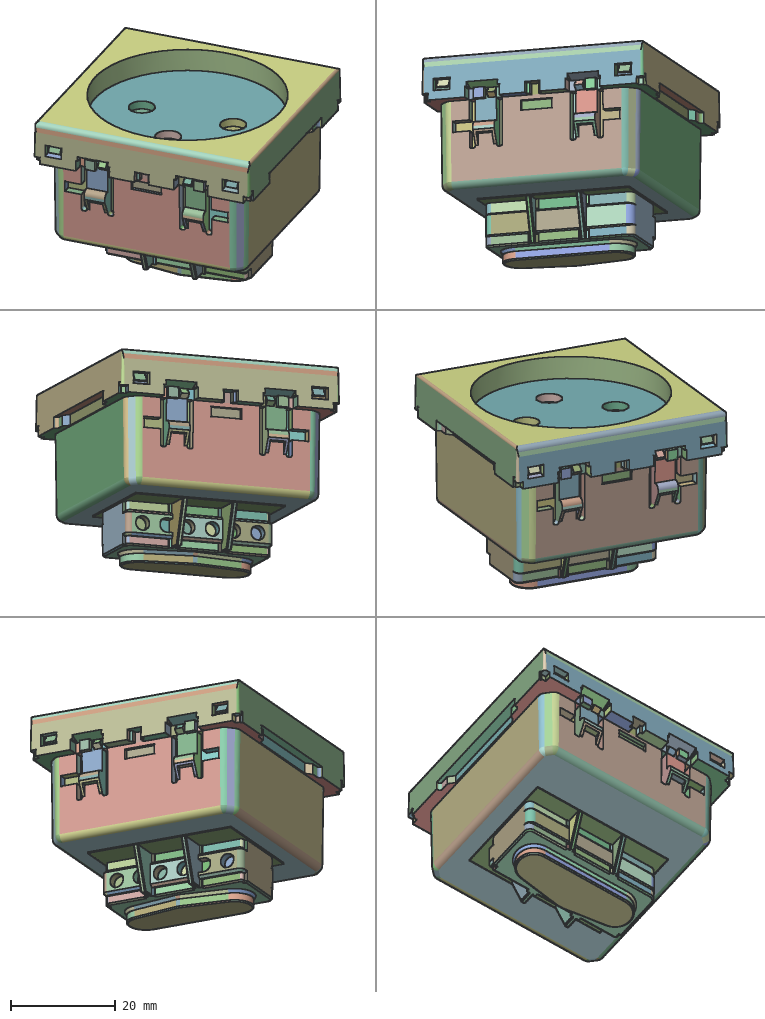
import cadquery as cq
import math


OVERRUN = 0.45

COVER = 45.0
COVER_HEIGHT = 8.55
COVER_DRAFT = 0.2
COVER_CORNER = 0.55
LONG_EDGE_ROUND = 1.0
SIDE_EDGE_ROUND = 0.55
BREAK_DROP = 1.95
BREAK_LEAN = 0.1
SIDE_BREAK_DROP = 0.6
WALL = COVER / 2
DIAL_RADIUS = 19.2
DIAL_DEPTH = 4.5
PIN_RADIUS = 2.5
PIN_DEPTH = 1.65
PIN_OFFSET = 9.5
NOTCH = 1.35
SIDE_SLIT_WIDTH = 0.35
SIDE_SLIT_DEPTH = 0.45
LOW_OPENING = 2.1

BODY = 40.4
BODY_DEPTH = 17.1
BODY_DRAFT = 0.22
BODY_CHAMFER = 2.15
BODY_CORNER_ROUND = 1.85
BODY_BOTTOM_ROUND = 1.3
BODY_WALL = BODY / 2

SIDE_OPENING_HALF = 12.8
SIDE_OPENING_DEPTH = 0.9
SIDE_CENTRE_HALF = 9.35
SIDE_CENTRE_CHAMFER = 1.12
SIDE_OPENING_ROUND = 0.6

WINDOW_X = 18.4
WINDOW_WIDTH = 3.35
WINDOW_LOW = 1.85
WINDOW_HIGH = 4.2
WINDOW_DEPTH = 1.35
WINDOW_TAB_WIDTH = 2.45
WINDOW_TAB_LOW = 2.6
WINDOW_TAB_SETBACK = 0.45
WINDOW_SILL_RISE = 0.22

LATCH_X = 10.2
LATCH_WIDTH = 4.3
ARCH_WIDTH = 7.0
ARCH_HEIGHT = 3.05
ARCH_SLOPE_WIDTH = 6.3
LEG_WIDTH = 1.15
LEG_BOTTOM = -9.55
LEG_DEPTH = 1.8
LEG_ROUND = 0.45
HOOK_REACH = 21.55
HOOK_TOP = -4.5
HOOK_TIP = -6.25
HOOK_FOOT = -9.22
HOOK_ROUND = 1.1
HOOK_GAP = 3.15
HOOK_BAR_BOTTOM = -6.75
STOP_WIDTH = 2.1
STOP_REACH = 1.0
SMALL_STOP_WIDTH = 1.65
SMALL_STOP_NOSE = 1.0
SMALL_STOP_BOTTOM = 0.15
SIDE_SLOT_LENGTH = 3.4
SIDE_SLOT_TOP = -3.95
SIDE_SLOT_BOTTOM = -6.1

MID_NOTCH_WIDTH = 2.95
MID_NOTCH_INNER = 1.8
MID_NOTCH_DEPTH = 1.12
LABEL_WIDTH = 6.3
LABEL_TOP = -0.9
LABEL_BOTTOM = -2.9
LABEL_DEPTH = 0.75

BLOCK_WIDTH = 30.25
BLOCK_BOTTOM = -25.95
BLOCK_FRONT = -5.6
BLOCK_BACK = 7.05
BLOCK_SHOULDER = -4.5
BLOCK_INSET = 0.5
BLOCK_FRONT_ROUND = 0.45
BLOCK_BACK_ROUND = 1.35
PAD_WIDTH = 30.8
PAD_THICKNESS = 0.22
BLOCK_EDGE = 0.3
BAND_TOP = -19.12
BAND_BOTTOM = -24.2
BAND_FRONT_REACH = 1.0
BAND_BACK_REACH = 0.25
BAND_FRONT_ROUND = 1.1
BAND_BACK_ROUND = 1.45
BAND_EDGE = 0.55
PLATE_X = 5.15
PLATE_THICKNESS = 1.05
PLATE_EDGE = 0.22
PLATE_FRONT_TOP = -11.92
PLATE_BACK_TOP = 10.45
PLATE_FRONT_BOTTOM = -8.65
PLATE_BACK_BOTTOM = 7.55
PLATE_FOOT_WIDTH = 2.02
PLATE_FOOT_FRONT = -5.95
PLATE_FOOT_BACK = 7.2
WIRE_RADIUS = 1.4
WIRE_DEPTH = 1.8
WIRE_Z = -21.7
WIRE_X = (2.5, 6.9, 11.9)

FOOT_BOTTOM = -28.4
FOOT_END_RADIUS = 3.7
FOOT_END_X = 9.55
FOOT_CENTRE_Y = 1.15
FOOT_FRONT_TILT = 8.6
FOOT_APEX_FLAT = 0.45
FOOT_EDGE = 0.25
FOOT_FLARE_HEIGHT = 0.7
FOOT_FLARE_REACH = 0.4


def block(x_min, x_max, y_min, y_max, z_min, z_max):
    size = (x_max - x_min, y_max - y_min, z_max - z_min)
    return cq.Workplane("XY").box(*size, centered=False).translate((x_min, y_min, z_min))


def centred_block(x, width, y_min, y_max, z_min, z_max):
    return block(x - width / 2, x + width / 2, y_min, y_max, z_min, z_max)


def side_prism(points, x, width):
    """Prism along X, centred on x, from (y, z) points."""
    return cq.Workplane("YZ").polyline(points).close().extrude(width / 2, both=True).translate((x, 0, 0))


def on_both_y_sides(shape):
    return shape.union(shape.mirror("XZ"))


def on_both_x_sides(shape):
    return shape.union(shape.mirror("YZ"))


def rounded_top(plane, radius, break_height, break_lean):
    """Prism wider than the cover below break_height, narrowing to a rounded top edge above it."""
    outside = WALL + OVERRUN
    wall_break = WALL - COVER_DRAFT * break_height / COVER_HEIGHT
    wall_top = wall_break - break_lean
    round_start = COVER_HEIGHT - radius
    mid = radius * (1 - math.sqrt(0.5))
    return (
        cq.Workplane(plane)
        .moveTo(-outside, 0)
        .lineTo(outside, 0)
        .lineTo(outside, break_height)
        .lineTo(wall_break, break_height)
        .lineTo(wall_top, round_start)
        .threePointArc((wall_top - mid, COVER_HEIGHT - mid), (wall_top - radius, COVER_HEIGHT))
        .lineTo(radius - wall_top, COVER_HEIGHT)
        .threePointArc((mid - wall_top, COVER_HEIGHT - mid), (-wall_top, round_start))
        .lineTo(-wall_break, break_height)
        .lineTo(-outside, break_height)
        .close()
        .extrude(outside, both=True)
    )


def make_cover():
    draft_angle = math.degrees(math.atan(COVER_DRAFT / COVER_HEIGHT))
    cover = (
        cq.Workplane("XY")
        .sketch().rect(COVER, COVER).vertices().fillet(COVER_CORNER).finalize()
        .extrude(COVER_HEIGHT, taper=draft_angle)
    )
    cover = cover.intersect(rounded_top("YZ", LONG_EDGE_ROUND, COVER_HEIGHT - BREAK_DROP, BREAK_LEAN))
    cover = cover.intersect(rounded_top("XZ", SIDE_EDGE_ROUND, COVER_HEIGHT - SIDE_BREAK_DROP, 0))

    notch = block(-WALL - OVERRUN, NOTCH - WALL, -WALL - OVERRUN, NOTCH - WALL, -OVERRUN, NOTCH)
    slit_y = NOTCH - WALL
    slit = block(-WALL, SIDE_SLIT_DEPTH - WALL, slit_y, slit_y + SIDE_SLIT_WIDTH, 0, LOW_OPENING)
    return cover.cut(on_both_x_sides(on_both_y_sides(notch.union(slit))))


def make_body():
    draft_angle = math.degrees(math.atan(BODY_DRAFT / BODY_DEPTH))
    return (
        cq.Workplane("XY")
        .sketch().rect(BODY, BODY).vertices().chamfer(BODY_CHAMFER)
        .reset().vertices().fillet(BODY_CORNER_ROUND).finalize()
        .extrude(-BODY_DEPTH, taper=draft_angle)
        .faces("<Z").edges().fillet(BODY_BOTTOM_ROUND)
    )


def make_socket_cuts():
    dial_floor = COVER_HEIGHT - DIAL_DEPTH
    dial = cq.Workplane("XY").workplane(offset=dial_floor).circle(DIAL_RADIUS).extrude(DIAL_DEPTH)
    pins = (
        cq.Workplane("XY").workplane(offset=dial_floor - PIN_DEPTH)
        .pushPoints([(-PIN_OFFSET, 0), (PIN_OFFSET, 0), (0, -PIN_OFFSET)])
        .circle(PIN_RADIUS).extrude(PIN_DEPTH)
    )
    return dial.union(pins)


def make_side_openings():
    outer = (
        block(-WALL - SIDE_OPENING_DEPTH, SIDE_OPENING_DEPTH - WALL,
              -SIDE_OPENING_HALF, SIDE_OPENING_HALF, 0, LOW_OPENING)
        .edges("|Z and >X").fillet(SIDE_OPENING_ROUND)
    )
    inner_x = SIDE_OPENING_DEPTH - WALL
    mouth = SIDE_CENTRE_HALF + SIDE_CENTRE_CHAMFER
    inner = (
        cq.Workplane("XY")
        .polyline([(inner_x, -mouth), (inner_x + SIDE_CENTRE_CHAMFER, -SIDE_CENTRE_HALF),
                   (inner_x + SIDE_CENTRE_CHAMFER, SIDE_CENTRE_HALF), (inner_x, mouth)])
        .close().extrude(LOW_OPENING)
    )
    return on_both_x_sides(outer.union(inner))


def make_window():
    """Window cutter, leaving a tab with a sloping top inside."""
    floor_y = WINDOW_DEPTH - WALL
    opening = centred_block(-WINDOW_X, WINDOW_WIDTH, -WALL - OVERRUN, floor_y, WINDOW_LOW, WINDOW_HIGH)
    tab = side_prism(
        [(floor_y, WINDOW_HIGH), (WINDOW_TAB_SETBACK - WALL, WINDOW_TAB_LOW), (floor_y, WINDOW_TAB_LOW)],
        -WINDOW_X, WINDOW_TAB_WIDTH)
    sill = side_prism(
        [(-WALL, WINDOW_LOW), (floor_y, WINDOW_LOW), (floor_y, WINDOW_LOW + WINDOW_SILL_RISE)],
        -WINDOW_X, WINDOW_WIDTH)
    return opening.cut(tab).cut(sill)


def make_latch_cuts():
    """Arch through the cover wall, leg slots beside the latch tongue and the slot leading outward."""
    arch = centred_block(-LATCH_X, ARCH_WIDTH, -WALL - OVERRUN, -BODY_WALL, 0, LOW_OPENING)
    slope = side_prism(
        [(-WALL - OVERRUN, LOW_OPENING), (-BODY_WALL, LOW_OPENING),
         (-WALL, ARCH_HEIGHT), (-WALL - OVERRUN, ARCH_HEIGHT)],
        -LATCH_X, ARCH_SLOPE_WIDTH)
    cuts = arch.union(slope)
    leg_offset = (LATCH_WIDTH + LEG_WIDTH) / 2
    for leg_x in (-LATCH_X - leg_offset, -LATCH_X + leg_offset):
        leg = (
            centred_block(leg_x, LEG_WIDTH, -WALL - OVERRUN, LEG_DEPTH - BODY_WALL, LEG_BOTTOM, 0)
            .edges("|Y and <Z").fillet(LEG_ROUND)
        )
        cuts = cuts.union(leg)
    slot_end = -LATCH_X - LATCH_WIDTH / 2 - LEG_WIDTH
    slot = block(slot_end - SIDE_SLOT_LENGTH, slot_end, -WALL - OVERRUN, LEG_DEPTH - BODY_WALL,
                 SIDE_SLOT_BOTTOM, SIDE_SLOT_TOP)
    return cuts.union(slot)


def make_hook():
    """Snap hook with a rounded nose; below the nose only two side ribs remain."""
    root = OVERRUN - BODY_WALL
    hook = side_prism(
        [(root, HOOK_TOP), (-HOOK_REACH, HOOK_TOP), (-HOOK_REACH, HOOK_TIP),
         (-BODY_WALL + BODY_DRAFT, HOOK_FOOT), (root, HOOK_FOOT)],
        -LATCH_X, LATCH_WIDTH)
    hook = hook.edges("|X and <Y and >Z").fillet(HOOK_ROUND)
    gap = centred_block(-LATCH_X, HOOK_GAP, -WALL, -BODY_WALL + BODY_DRAFT, LEG_BOTTOM, HOOK_BAR_BOTTOM)
    return hook.cut(gap)


def make_latch_stops():
    """A square and a wedge-shaped stop standing on the latch tongue inside the arch."""
    outer_edge = -LATCH_X - LATCH_WIDTH / 2
    inner_edge = -LATCH_X + LATCH_WIDTH / 2
    front = -BODY_WALL - STOP_REACH
    stop = block(outer_edge, outer_edge + STOP_WIDTH, front, -BODY_WALL, 0, LOW_OPENING)
    small = side_prism(
        [(-BODY_WALL, LOW_OPENING), (front, SMALL_STOP_NOSE), (-BODY_WALL, SMALL_STOP_BOTTOM)],
        inner_edge - SMALL_STOP_WIDTH / 2, SMALL_STOP_WIDTH)
    return stop.union(small)


def make_middle_cuts():
    notch = centred_block(0, MID_NOTCH_WIDTH, -WALL - OVERRUN, MID_NOTCH_DEPTH - WALL, 0, LOW_OPENING)
    inner = centred_block(0, MID_NOTCH_INNER, -WALL - OVERRUN, -BODY_WALL, 0, LOW_OPENING)
    label = centred_block(0, LABEL_WIDTH, -WALL, LABEL_DEPTH - BODY_WALL, LABEL_BOTTOM, LABEL_TOP)
    return notch.union(inner).union(label)


def make_terminal_block():
    half = BLOCK_WIDTH / 2
    front_half = half - BLOCK_INSET
    band_front = BLOCK_FRONT - BAND_FRONT_REACH
    band_back = BLOCK_BACK + BAND_BACK_REACH
    core_top = -BODY_DEPTH + OVERRUN

    back_part = block(-half, half, BLOCK_SHOULDER, BLOCK_BACK, BLOCK_BOTTOM, core_top)
    back_part = back_part.edges("|Z and >Y").fillet(BLOCK_BACK_ROUND)
    front_part = block(-front_half, front_half, BLOCK_FRONT, BLOCK_SHOULDER, BLOCK_BOTTOM, core_top)
    front_part = front_part.edges("|Z and <Y").fillet(BLOCK_FRONT_ROUND)
    core = back_part.union(front_part).faces("<Z").edges().chamfer(BLOCK_EDGE)

    band = block(-half, half, band_front, band_back, BAND_BOTTOM, BAND_TOP)
    band = band.edges("|Z and <Y").fillet(BAND_FRONT_ROUND).edges("|Z and >Y").fillet(BAND_BACK_ROUND)
    band = band.faces("<Z or >Z").edges().chamfer(BAND_EDGE)
    pad = centred_block(0, PAD_WIDTH, PLATE_FRONT_TOP, PLATE_BACK_TOP,
                        -BODY_DEPTH - PAD_THICKNESS, -BODY_DEPTH)
    terminals = core.union(band).union(pad)

    wires = (
        cq.Workplane("XZ", origin=(0, band_front, 0))
        .pushPoints([(side * x, WIRE_Z) for x in WIRE_X for side in (-1, 1)])
        .circle(WIRE_RADIUS).extrude(-WIRE_DEPTH)
    )
    slots = centred_block(
        -(WIRE_X[1] + PLATE_X) / 2, WIRE_X[1] - PLATE_X,
        band_front, band_front + WIRE_DEPTH,
        WIRE_Z - WIRE_RADIUS, WIRE_Z + WIRE_RADIUS)
    terminals = terminals.cut(wires).cut(on_both_x_sides(slots))

    plate = side_prism(
        [(PLATE_FRONT_TOP, -BODY_DEPTH), (PLATE_BACK_TOP, -BODY_DEPTH),
         (PLATE_BACK_BOTTOM, BLOCK_BOTTOM), (PLATE_FRONT_BOTTOM, BLOCK_BOTTOM)],
        -PLATE_X, PLATE_THICKNESS)
    plate = plate.edges("not |X").edges("not >Z").chamfer(PLATE_EDGE)
    plate_foot = centred_block(-PLATE_X, PLATE_FOOT_WIDTH, PLATE_FOOT_FRONT, PLATE_FOOT_BACK,
                               BLOCK_BOTTOM, -BODY_DEPTH)
    plate_foot = plate_foot.cut(block(-WALL, 0, -WALL, WALL, BAND_BOTTOM, BAND_TOP))
    return terminals.union(on_both_x_sides(plate.union(plate_foot)))


def foot_outline(plane_z):
    """Bar with rounded ends, straight at the back and coming to a blunt point at the front."""
    back = FOOT_CENTRE_Y + FOOT_END_RADIUS
    tip = FOOT_END_X + FOOT_END_RADIUS
    tilt = math.radians(FOOT_FRONT_TILT)
    front_x = FOOT_END_X + FOOT_END_RADIUS * math.sin(tilt)
    front_y = FOOT_CENTRE_Y - FOOT_END_RADIUS * math.cos(tilt)
    apex_y = front_y - (front_x - FOOT_APEX_FLAT) * math.tan(tilt)
    return (
        cq.Workplane("XY").workplane(offset=plane_z)
        .moveTo(-FOOT_END_X, back)
        .lineTo(FOOT_END_X, back)
        .threePointArc((tip, FOOT_CENTRE_Y), (front_x, front_y))
        .lineTo(FOOT_APEX_FLAT, apex_y)
        .lineTo(-FOOT_APEX_FLAT, apex_y)
        .lineTo(-front_x, front_y)
        .threePointArc((-tip, FOOT_CENTRE_Y), (-FOOT_END_X, back))
        .close()
    )


def make_foot():
    bar = foot_outline(FOOT_BOTTOM).extrude(BLOCK_BOTTOM + OVERRUN - FOOT_BOTTOM)
    bar = bar.faces("<Z").edges().chamfer(FOOT_EDGE)
    flare_angle = math.degrees(math.atan(FOOT_FLARE_REACH / FOOT_FLARE_HEIGHT))
    flare = foot_outline(BLOCK_BOTTOM - FOOT_FLARE_HEIGHT).extrude(FOOT_FLARE_HEIGHT, taper=-flare_angle)
    return bar.union(flare)


y_wall_cuts = on_both_x_sides(make_window().union(make_latch_cuts())).union(make_middle_cuts())
latches = on_both_x_sides(make_hook().union(make_latch_stops()))

result = make_cover().union(make_body())
result = result.cut(make_socket_cuts()).cut(make_side_openings())
result = result.cut(on_both_y_sides(y_wall_cuts)).union(on_both_y_sides(latches))
result = result.union(make_terminal_block()).union(make_foot())